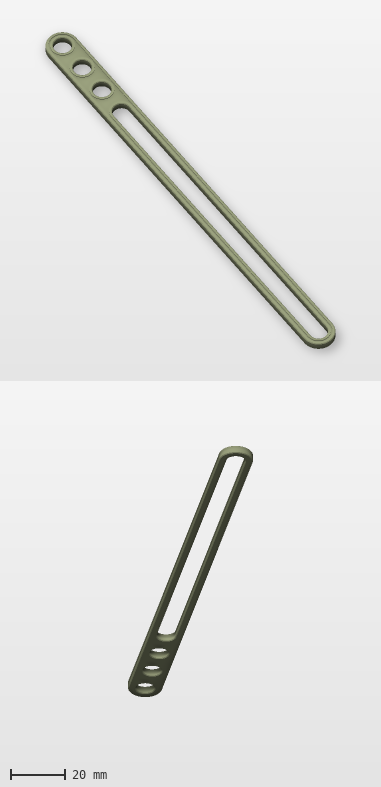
import cadquery as cq

length = 175.0
pitch_count = 14
round_hole_count = 3
hole_diameter = 7.0
wall_width = 1.1
recess_depth = 0.3
edge_chamfer = 0.3

pitch = length / pitch_count
width = pitch
thickness = pitch / 4

recess_width = width - 2 * wall_width
collar_diameter = hole_diameter + 2 * wall_width
recess_floor = thickness - recess_depth

first_hole_x = (pitch - length) / 2
slot_start_x = first_hole_x + round_hole_count * pitch
slot_end_x = -first_hole_x
round_hole_centers = [(first_hole_x + i * pitch, 0) for i in range(round_hole_count)]


def obround(start_x, end_x, diameter, bottom, height):
    """Straight-sided, round-ended prism whose end arcs are centred at start_x and end_x."""
    return (
        cq.Workplane("XY", origin=((start_x + end_x) / 2, 0, bottom))
        .slot2D(end_x - start_x + diameter, diameter)
        .extrude(height)
    )


def holes_and_slot(diameter, bottom, height):
    """Prisms on the row of round holes and on the long slot, all of one diameter."""
    holes = (
        cq.Workplane("XY", origin=(0, 0, bottom))
        .pushPoints(round_hole_centers)
        .circle(diameter / 2)
        .extrude(height)
    )
    return holes.union(obround(slot_start_x, slot_end_x, diameter, bottom, height))


def pierced_strap():
    """Strap with its holes and slot, chamfered along every top and bottom edge."""
    outline = obround(first_hole_x, slot_end_x, width, 0, thickness)
    pierced = outline.cut(holes_and_slot(hole_diameter, 0, thickness))
    return pierced.faces("|Z").edges().chamfer(edge_chamfer)


def recess():
    """Shallow top recess that leaves a rim round the strap and a collar round each opening."""
    pocket = obround(first_hole_x, slot_end_x, recess_width, recess_floor, recess_depth)
    collars = holes_and_slot(collar_diameter, recess_floor, recess_depth)
    return pocket.cut(collars)


result = pierced_strap().cut(recess())